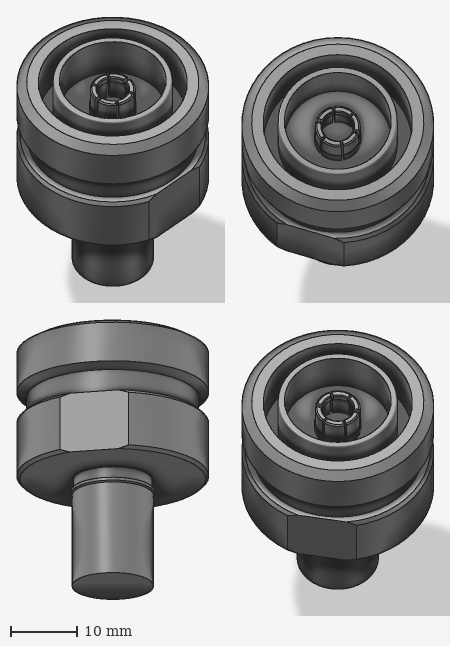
import cadquery as cq
import math

overall_height = 38.5
tube_top = 14.5
ring_bevel_top = 14.75
ring_top = 15.2
collar_bottom = 17.0
body_bottom = 17.1
body_top = 26.5
nut_bottom = 30.1
nut_top = 38.0
sleeve_floor = 31.8
annulus_floor = 30.5
contact_collar_top = 33.4
contact_lip_bottom = 35.65
contact_top = 36.6

tube_radius = 6.15
ring_radius = 6.3
neck_radius = 5.95
collar_radius = 6.1
body_radius = 14.5
groove_radius = 13.0
nut_radius = 14.5
nut_bore_radius = 11.25
sleeve_outer_radius = 9.0
sleeve_bore_radius = 8.05

nut_chamfer_radial = 1.5
nut_chamfer_height = nut_chamfer_radial * math.tan(math.radians(30))
body_chamfer = 0.5
sleeve_fillet = 0.25

across_flats = 27.0

contact_collar_radius = 3.5
contact_radius = 3.4
contact_top_radius = 3.15
contact_bevel_height = 0.15
contact_mouth_radius = 2.55
contact_lip_radius = 2.38
contact_mouth_bevel = contact_mouth_radius - contact_lip_radius
contact_bore_radius = 2.9
wide_slot_width = 0.6
narrow_slot_width = 0.35
slot_spacing = 60


def cylinder(radius, bottom, top):
    """Solid cylinder about Z between two heights."""
    return cq.Workplane("XY").workplane(offset=bottom).circle(radius).extrude(top - bottom)


def revolve_profile(profile):
    """Turned solid from a closed outline of (radius, height) points."""
    return cq.Workplane("XZ").polyline(profile).close().revolve(360, (0, 0), (0, 1))


def make_cable_end():
    """Tube, bevelled ring, neck and thin collar that lead up to the body."""
    profile = [
        (0, 0),
        (tube_radius, 0),
        (tube_radius, tube_top),
        (ring_radius, ring_bevel_top),
        (ring_radius, ring_top),
        (neck_radius, ring_top),
        (neck_radius, collar_bottom),
        (collar_radius, collar_bottom),
        (collar_radius, body_bottom),
        (0, body_bottom),
    ]
    return revolve_profile(profile)


def make_body():
    """Chamfered round body with two opposite wrench flats."""
    body = cylinder(body_radius, body_bottom, body_top).faces("<Z or >Z").chamfer(body_chamfer)
    flats = (
        cq.Workplane("XY")
        .workplane(offset=body_bottom)
        .rect(across_flats, 2 * body_radius)
        .extrude(body_top - body_bottom)
    )
    return body.intersect(flats)


def make_nut():
    """Coupling nut with sloped rims, its grooved shank and an open bore."""
    rim_radius = nut_radius - nut_chamfer_radial
    profile = [
        (0, body_top),
        (groove_radius, body_top),
        (groove_radius, nut_bottom),
        (nut_radius, nut_bottom + nut_chamfer_height),
        (nut_radius, nut_top - nut_chamfer_height),
        (rim_radius, nut_top),
        (nut_bore_radius, nut_top),
        (nut_bore_radius, annulus_floor),
        (0, annulus_floor),
    ]
    return revolve_profile(profile)


def make_sleeve():
    """Thin-walled sleeve that stands in the nut, closed by a floor."""
    sleeve = cylinder(sleeve_outer_radius, annulus_floor, overall_height)
    sleeve = sleeve.faces(">Z").fillet(sleeve_fillet)
    return sleeve.cut(cylinder(sleeve_bore_radius, sleeve_floor, overall_height))


def contact_slot(width, angle):
    """Cutter across the full contact diameter, turned from the Y axis by an angle."""
    slot = cq.Workplane("XY").workplane(offset=sleeve_floor).rect(width, 2 * sleeve_bore_radius)
    return slot.extrude(contact_top - sleeve_floor).rotate((0, 0, 0), (0, 0, 1), angle)


def make_contact():
    """Hollow centre contact split into six fingers by radial slots."""
    profile = [
        (contact_bore_radius, sleeve_floor),
        (contact_collar_radius, sleeve_floor),
        (contact_collar_radius, contact_collar_top),
        (contact_radius, contact_collar_top),
        (contact_radius, contact_top - contact_bevel_height),
        (contact_top_radius, contact_top),
        (contact_mouth_radius, contact_top),
        (contact_lip_radius, contact_top - contact_mouth_bevel),
        (contact_lip_radius, contact_lip_bottom),
        (contact_bore_radius, contact_lip_bottom),
    ]
    contact = revolve_profile(profile)
    contact = contact.cut(contact_slot(wide_slot_width, 0))
    for angle in (slot_spacing, -slot_spacing):
        contact = contact.cut(contact_slot(narrow_slot_width, angle))
    return contact


result = make_cable_end().union(make_body()).union(make_nut()).union(make_sleeve()).union(make_contact())